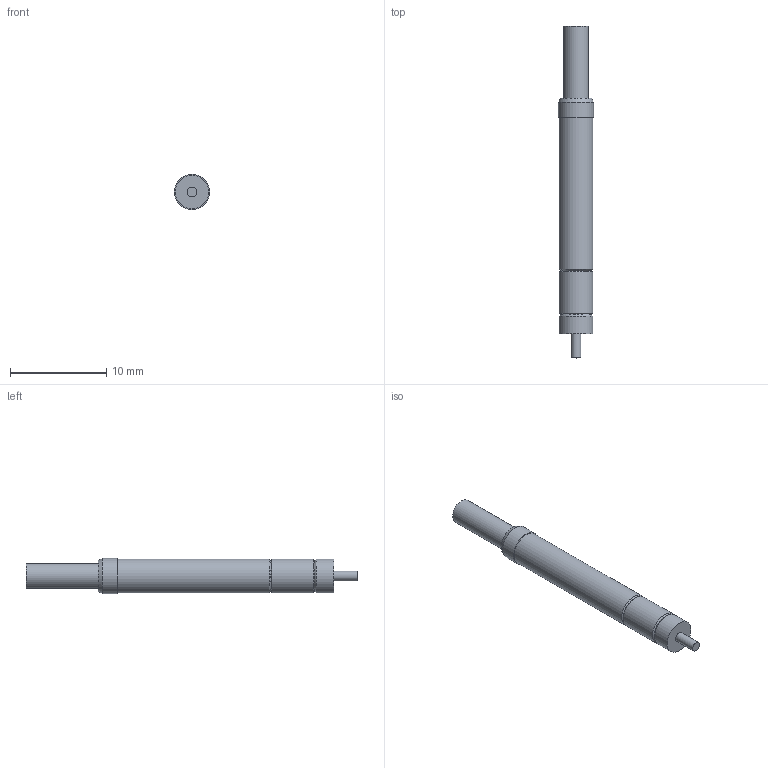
import cadquery as cq

TOTAL_LENGTH = 34.5

PIN_DIAMETER = 1.0
PIN_LENGTH = 2.5

BODY_DIAMETER = 3.5

COLLAR_DIAMETER = 3.65
COLLAR_START = 25.0
COLLAR_END = 27.0
COLLAR_TAPER_LENGTH = 0.4
COLLAR_TAPER_END_DIAMETER = 3.3

TAIL_DIAMETER = 2.6

GROOVE_DEPTH = 0.15
GROOVE_REAR_WALL_LENGTH = 0.12
SLEEVE_GROOVE_REAR = 9.2
SLEEVE_GROOVE_WIDTH = 0.25
CAP_GROOVE_REAR = 4.65
CAP_GROOVE_WIDTH = 0.32


def cylinder(diameter, start, end):
    """Solid cylinder along Y from start to end."""
    plane = cq.Plane(origin=(0, start, 0), xDir=(1, 0, 0), normal=(0, 1, 0))
    return cq.Workplane(plane).circle(diameter / 2).extrude(end - start)


def revolve_about_y(points):
    """Solid of revolution about Y from a closed (radius, Y) outline."""
    return cq.Workplane("XY").polyline(points).close().revolve(360, (0, 0, 0), (0, 1, 0))


def collar():
    """Raised collar, tapered towards the tail."""
    radius = COLLAR_DIAMETER / 2
    return revolve_about_y([
        (0, COLLAR_START),
        (radius, COLLAR_START),
        (radius, COLLAR_END - COLLAR_TAPER_LENGTH),
        (COLLAR_TAPER_END_DIAMETER / 2, COLLAR_END),
        (0, COLLAR_END),
    ])


def v_groove(rear, width):
    """Ring cutter for a V groove whose rear edge is at Y = rear."""
    radius = BODY_DIAMETER / 2
    return revolve_about_y([
        (radius, rear),
        (radius - GROOVE_DEPTH, rear - GROOVE_REAR_WALL_LENGTH),
        (radius, rear - width),
    ])


pin = cylinder(PIN_DIAMETER, 0, PIN_LENGTH)
body = cylinder(BODY_DIAMETER, PIN_LENGTH, COLLAR_START)
tail = cylinder(TAIL_DIAMETER, COLLAR_END, TOTAL_LENGTH)

body = body.cut(v_groove(SLEEVE_GROOVE_REAR, SLEEVE_GROOVE_WIDTH))
body = body.cut(v_groove(CAP_GROOVE_REAR, CAP_GROOVE_WIDTH))

result = body.union(pin).union(collar()).union(tail)